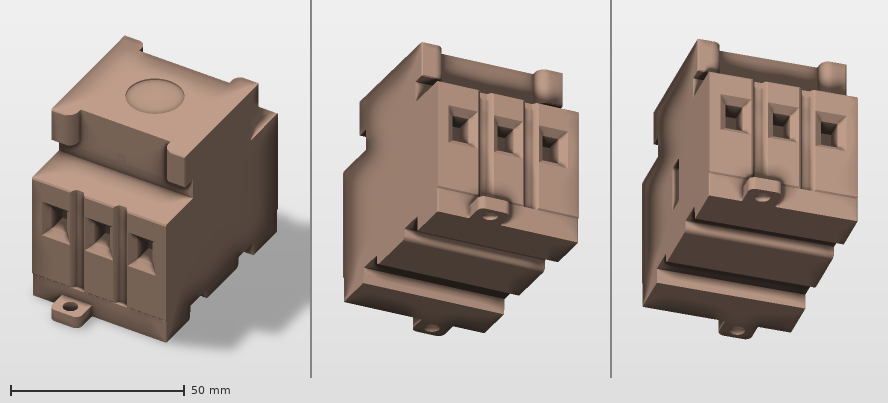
import cadquery as cq

WIDTH = 45.0
BASE_TOP = 7.7
SHOULDER_TOP = 42.45
LIP_BOTTOM = 49.1
TOTAL_HEIGHT = 60.1

HOUSING_HALF = 31.6
NECK_HALF = 16.4
CAP_HALF = 20.95
BASE_HALF = 31.3

OVERLAP = 1.0

TERMINAL_CHAMFER_FACE = 0.5
TERMINAL_CHAMFER_DEPTH = 0.4
POLE_PITCH = 14.4
POLE_COUNT = 3
GROOVE_DEPTH = 1.6
GROOVE_FLOOR = 2.3
GROOVE_MOUTH = 4.0

WINDOW_CENTER_Z = 29.1
WINDOW_WIDTH = 9.4
WINDOW_HEIGHT = 12.1
SHAFT_WIDTH = 5.1
SHAFT_HEIGHT = 8.0
FUNNEL_DEPTH = 1.9
SHAFT_DEPTH = 8.0

LIP_GAP_HALF = 15.1
LIP_RADIUS = 6.3 / 2
LIP_CHAMFER = 0.3
CAP_WALL_HALF = 16.5
DIAL_DIAMETER = 17.0
DIAL_DEPTH = 0.5

LABEL_BOTTOM = 46.15
LABEL_THICKNESS = CAP_WALL_HALF - NECK_HALF
LABEL_SPANS = [(-LIP_GAP_HALF, -2.75), (0.15, LIP_GAP_HALF)]

SLOT_WIDTH = 6.1
SLOT_BOTTOM = 15.4
SLOT_TOP = 30.1
SLOT_DEPTH = 2.0
SLOT_RADIUS = 0.8
CATCH_WIDTH = 4.65
CATCH_BOTTOM = 17.55
CATCH_TOP = 21.6
CATCH_DEPTH = 1.5

BASE_EDGE_RADIUS = 0.4
RAIL_CEILING = 4.75
RAIL_BACK = 17.75
RAIL_FRONT_TOP = 17.8
RAIL_FRONT_BOTTOM = 18.25
RAIL_FRONT_STRAIGHT = 1.6
TONGUE_HALF = 9.2
TONGUE_BOTTOM = 1.35
TONGUE_ROOT_RADIUS = 0.4
TONGUE_TIP_RADIUS = 1.4

TAB_WIDTH = 10.0
TAB_HEIGHT = 4.0
TAB_END = 77.6 / 2
TAB_CORNER_RADIUS = 2.0
TAB_ROOT_RADIUS = 0.45
TAB_HOLE_DIAMETER = 4.5
TAB_HOLE_X = 7.5
TAB_HOLE_Y = 35.0


def box(x_range, y_range, z_range):
    """Axis-aligned block spanning the three given ranges."""
    ranges = (x_range, y_range, z_range)
    size = [abs(end - start) for start, end in ranges]
    corner = tuple(min(ends) for ends in ranges)
    return cq.Workplane("XY").box(*size, centered=False).translate(corner)


def both_ends(shape):
    """The shape at the front together with its mirror image at the back."""
    return [shape, shape.mirror("XZ")]


def side_profile_solid(points):
    """Outline in (Y, Z) extruded over the full width."""
    return cq.Workplane("YZ").polyline(points).close().extrude(WIDTH / 2, both=True)


def housing_blank():
    """Terminal block and neck in one side outline, with the overhanging cap on top."""
    chamfered = HOUSING_HALF - TERMINAL_CHAMFER_DEPTH
    half_outline = [
        (chamfered, BASE_TOP),
        (HOUSING_HALF, BASE_TOP + TERMINAL_CHAMFER_FACE),
        (HOUSING_HALF, SHOULDER_TOP - TERMINAL_CHAMFER_FACE),
        (chamfered, SHOULDER_TOP),
        (NECK_HALF, SHOULDER_TOP),
        (NECK_HALF, LIP_BOTTOM),
    ]
    mirrored = [(-y, z) for y, z in reversed(half_outline)]
    block_and_neck = side_profile_solid(half_outline + mirrored)
    cap = box(
        (-WIDTH / 2, WIDTH / 2),
        (-CAP_HALF, CAP_HALF),
        (LIP_BOTTOM, TOTAL_HEIGHT),
    )
    cap = cap.faces("<Y or >Y").chamfer(LIP_CHAMFER)
    return block_and_neck.union(cap)


def cap_recess():
    """Opening between the two front lips, whose corners are rounded."""
    mouth_half = LIP_GAP_HALF + LIP_RADIUS
    arc_end = CAP_HALF - LIP_RADIUS
    outside = CAP_HALF + OVERLAP
    return (
        cq.Workplane("XY", origin=(0, 0, LIP_BOTTOM))
        .moveTo(-LIP_GAP_HALF, -CAP_WALL_HALF)
        .lineTo(LIP_GAP_HALF, -CAP_WALL_HALF)
        .lineTo(LIP_GAP_HALF, -arc_end)
        .radiusArc((mouth_half, -CAP_HALF), -LIP_RADIUS)
        .lineTo(mouth_half, -outside)
        .lineTo(-mouth_half, -outside)
        .lineTo(-mouth_half, -CAP_HALF)
        .radiusArc((-LIP_GAP_HALF, -arc_end), -LIP_RADIUS)
        .close()
        .extrude(TOTAL_HEIGHT - LIP_BOTTOM)
    )


def pole_groove(x):
    """Upright groove between two poles, with flared and chamfered sides."""
    floor_half = GROOVE_FLOOR / 2
    mouth_half = GROOVE_MOUTH / 2
    rim_half = mouth_half + TERMINAL_CHAMFER_FACE
    rim_y = -HOUSING_HALF
    mouth_y = rim_y + TERMINAL_CHAMFER_DEPTH
    floor_y = rim_y + GROOVE_DEPTH
    left = [(-rim_half, rim_y), (-mouth_half, mouth_y), (-floor_half, floor_y)]
    right = [(-dx, y) for dx, y in reversed(left)]
    return (
        cq.Workplane("XY", origin=(x, 0, BASE_TOP))
        .polyline(left + right)
        .close()
        .extrude(SHOULDER_TOP - BASE_TOP)
    )


def terminal_window(x):
    """Funnel that narrows into a straight wire shaft."""
    face = cq.Workplane("XZ", origin=(x, -HOUSING_HALF, WINDOW_CENTER_Z))
    funnel = (
        face.rect(WINDOW_WIDTH, WINDOW_HEIGHT)
        .workplane(offset=-FUNNEL_DEPTH)
        .rect(SHAFT_WIDTH, SHAFT_HEIGHT)
        .loft(ruled=True)
    )
    shaft = face.rect(SHAFT_WIDTH, SHAFT_HEIGHT).extrude(-SHAFT_DEPTH)
    return funnel.union(shaft)


def side_slot():
    """Rounded slot in the -X side with a smaller, deeper catch in its floor."""
    side = -WIDTH / 2
    slot_floor = side + SLOT_DEPTH
    half = SLOT_WIDTH / 2
    slot = box((side, slot_floor), (-half, half), (SLOT_BOTTOM, SLOT_TOP))
    slot = slot.edges("|X").fillet(SLOT_RADIUS)
    catch_half = CATCH_WIDTH / 2
    catch = box(
        (side, slot_floor + CATCH_DEPTH),
        (-catch_half, catch_half),
        (CATCH_BOTTOM, CATCH_TOP),
    )
    return slot.union(catch)


def label_plate(x_range):
    """Thin label whose face is flush with the wall of the cap."""
    y_range = (-CAP_WALL_HALF, -CAP_WALL_HALF + LABEL_THICKNESS)
    return box(x_range, y_range, (LABEL_BOTTOM, TOTAL_HEIGHT))


def make_housing(labels):
    housing = housing_blank()
    cuts = both_ends(cap_recess())
    for gap in range(POLE_COUNT - 1):
        cuts += both_ends(pole_groove((gap + 1 - POLE_COUNT / 2) * POLE_PITCH))
    for pole in range(POLE_COUNT):
        cuts += both_ends(terminal_window((pole - (POLE_COUNT - 1) / 2) * POLE_PITCH))
    cuts.append(side_slot())
    cuts += labels
    for cut in cuts:
        housing = housing.cut(cut)
    return housing.faces(">Z").workplane(origin=(0, 0, 0)).hole(DIAL_DIAMETER, DIAL_DEPTH)


def rail_channel():
    """Mounting-rail channel across the underside, with a tongue hanging in its middle."""
    channel = side_profile_solid([
        (RAIL_BACK, 0),
        (RAIL_BACK, RAIL_CEILING),
        (-RAIL_FRONT_TOP, RAIL_CEILING),
        (-RAIL_FRONT_TOP, RAIL_CEILING - RAIL_FRONT_STRAIGHT),
        (-RAIL_FRONT_BOTTOM, 0),
    ])
    tongue = box(
        (-WIDTH / 2, WIDTH / 2),
        (-TONGUE_HALF, TONGUE_HALF),
        (TONGUE_BOTTOM, RAIL_CEILING),
    )
    tongue = tongue.edges("|X and <Z").fillet(TONGUE_TIP_RADIUS)
    channel = channel.cut(tongue)
    roots = cq.selectors.BoxSelector(
        (-WIDTH, -TONGUE_HALF - TONGUE_ROOT_RADIUS, RAIL_CEILING - TONGUE_ROOT_RADIUS),
        (WIDTH, TONGUE_HALF + TONGUE_ROOT_RADIUS, RAIL_CEILING + TONGUE_ROOT_RADIUS),
    )
    return channel.edges("|X").edges(roots).fillet(TONGUE_ROOT_RADIUS)


def front_tab():
    """Mounting tab with rounded corners and a flared root."""
    half = TAB_WIDTH / 2
    root_half = half + TAB_ROOT_RADIUS
    root_end = -BASE_HALF - TAB_ROOT_RADIUS
    inside = -BASE_HALF + OVERLAP
    straight = half - TAB_CORNER_RADIUS
    corner_y = -TAB_END + TAB_CORNER_RADIUS
    hole = cq.Workplane("XY", origin=(-TAB_HOLE_X, -TAB_HOLE_Y, 0))
    hole = hole.circle(TAB_HOLE_DIAMETER / 2).extrude(TAB_HEIGHT)
    return (
        cq.Workplane("XY", origin=(-TAB_HOLE_X, 0, 0))
        .moveTo(-root_half, inside)
        .lineTo(-root_half, -BASE_HALF)
        .radiusArc((-half, root_end), TAB_ROOT_RADIUS)
        .lineTo(-half, corner_y)
        .radiusArc((-straight, -TAB_END), -TAB_CORNER_RADIUS)
        .lineTo(straight, -TAB_END)
        .radiusArc((half, corner_y), -TAB_CORNER_RADIUS)
        .lineTo(half, root_end)
        .radiusArc((root_half, -BASE_HALF), TAB_ROOT_RADIUS)
        .lineTo(root_half, inside)
        .close()
        .extrude(TAB_HEIGHT)
        .cut(hole)
    )


def make_base():
    half_width = WIDTH / 2
    base = box((-half_width, half_width), (-BASE_HALF, BASE_HALF), (0, BASE_TOP))
    base = base.edges("|Z").fillet(BASE_EDGE_RADIUS)
    base = base.cut(rail_channel())
    for turn in (0, 180):
        base = base.union(front_tab().rotate((0, 0, 0), (0, 0, 1), turn))
    return base


labels = [label_plate(span) for span in LABEL_SPANS]
housing = make_housing(labels)
base = make_base()

result = cq.Compound.makeCompound([housing.val(), base.val(), *[label.val() for label in labels]])